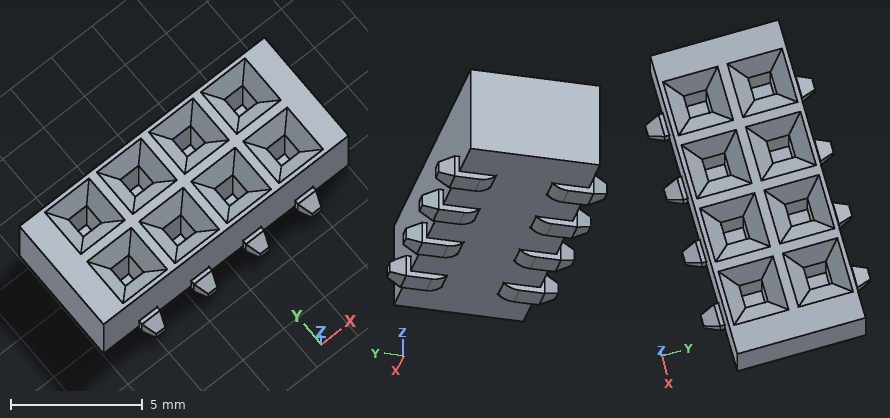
import cadquery as cq

housing_length = 12.0
housing_width = 5.08
housing_height = 3.5

columns = 4
pitch = 2.55

bar_size = 0.89
bar_drop = 0.24
contact_span = 6.6
taper_length = 0.59
tip_size = bar_size / 2

mouth_size = 2.16
mouth_depth = 0.6

bar_bottom = -bar_drop
bar_top = bar_bottom + bar_size
row_offset = pitch / 2
heel_y = row_offset - bar_size / 2
tip_y = contact_span / 2
shoulder_y = tip_y - taper_length

row_sides = (-1, 1)
column_positions = [(i - (columns - 1) / 2) * pitch for i in range(columns)]


def make_contact(x, side):
    """Square bar with a rounded heel under its socket and a tapered outer tip.

    side is +1 for the +Y row and -1 for the -Y row.
    """
    bar = (
        cq.Workplane("YZ")
        .moveTo(heel_y, bar_top)
        .lineTo(shoulder_y, bar_top)
        .lineTo(shoulder_y, bar_bottom)
        .lineTo(heel_y + bar_size, bar_bottom)
        .radiusArc((heel_y, bar_top), bar_size)
        .close()
        .extrude(bar_size / 2, both=True)
    )
    tip = (
        bar.faces(">Y")
        .workplane(centerOption="CenterOfBoundBox")
        .rect(bar_size, bar_size)
        .workplane(offset=taper_length)
        .rect(tip_size, tip_size)
        .loft(combine=False)
    )
    contact = bar.union(tip)
    if side < 0:
        contact = contact.mirror("XZ")
    return contact.translate((x, 0, 0)).solids()


def make_socket_cutter(x, y):
    """Volume removed for one socket: tapered mouth, then a hole down to the contact."""
    mouth_floor = housing_height - mouth_depth
    mouth = (
        cq.Workplane("XY", origin=(x, y, housing_height))
        .rect(mouth_size, mouth_size)
        .workplane(offset=-mouth_depth)
        .rect(bar_size, bar_size)
        .loft()
    )
    hole = (
        cq.Workplane("XY", origin=(x, y, bar_top))
        .rect(bar_size, bar_size)
        .extrude(mouth_floor - bar_top)
    )
    return mouth.union(hole)


def make_housing(contacts):
    """Rectangular block with a socket over each contact and a recess that fits it."""
    housing = cq.Workplane("XY").box(
        housing_length, housing_width, housing_height, centered=(True, True, False)
    )
    for x in column_positions:
        for side in row_sides:
            housing = housing.cut(make_socket_cutter(x, side * row_offset))
    for contact in contacts:
        housing = housing.cut(contact)
    return housing.solids()


contacts = [make_contact(x, side) for x in column_positions for side in row_sides]
housing = make_housing(contacts)

result = cq.Compound.makeCompound([housing.val(), *[contact.val() for contact in contacts]])